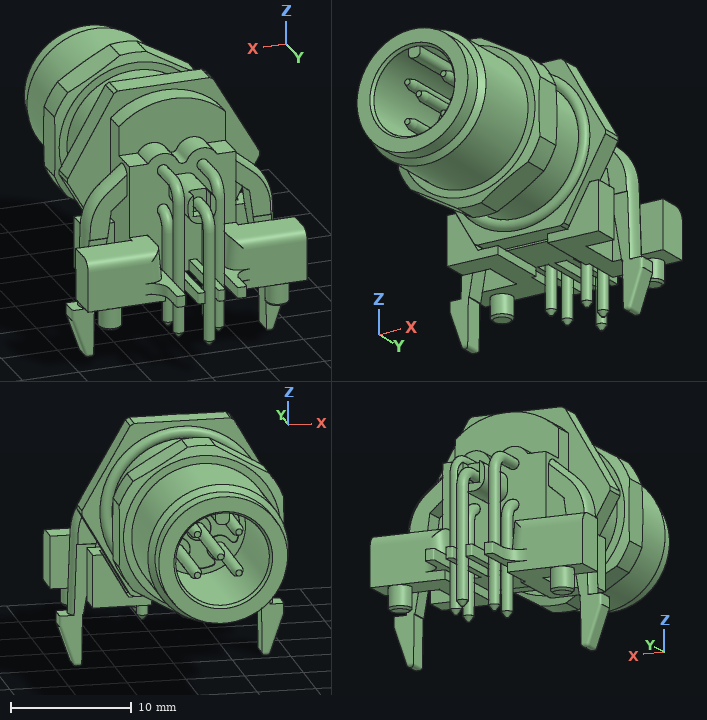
import cadquery as cq
import math


LIP_RADIUS = 5.5
LIP_LENGTH = 1.5
SHELL_RADIUS = 6.0
SHELL_CHAMFER_LENGTH = 0.5
FLANGE_FRONT = 16.5
FLANGE_BACK = 18.5
FLANGE_ACROSS_FLATS = 15.0
FLANGE_CORNER_RADIUS = 8.55
SEAL_SECTION_RADIUS = 0.5

NUT_FRONT = 8.52
NUT_LENGTH = 3.0
NUT_ACROSS_FLATS = 14.0
NUT_CORNER_RADIUS = 7.5
NUT_FACE_RADIUS = 6.7
NUT_CHAMFER_LENGTH = 0.27

BORE_RADIUS = 4.0
BORE_MOUTH_RADIUS = 4.2
BORE_MOUTH_LENGTH = 0.3
BORE_DEPTH = 9.9
KEY_WIDTH = 1.17
KEY_BOTTOM = 3.0
KEY_FRONT = BORE_MOUTH_LENGTH
KEY_CORNER = 0.45
POCKET_RADIUS = 3.5
POCKET_DEPTH = 0.15
POCKET_CORNER = 0.3
CONTACT_BOSS_DIAMETER = 2.1
TOP_LOBE_HEIGHT = 2.97
TOP_LOBE_WIDTH = 1.55
TOP_LOBE_CORNER = 0.75

PIN_RADIUS = 0.495
PIN_PITCH = 1.77
PIN_FRONT = 2.0
CENTER_PIN_FRONT = 1.0
PIN_NOSE_RADIUS = 0.27
PIN_NOSE_LENGTH = 0.78
PIN_BOTTOM = -11.75
PIN_POINT_RADIUS = 0.12
PIN_POINT_LENGTH = 0.48
PIN_BEND_RADIUS = 1.5
LOWER_PIN_Y = 24.27
PIN_ROW_STEP = 2.52

HOUSING_RADIUS = 7.0
HOUSING_HALF_WIDTH = 4.75
HOUSING_STEP_Y = 20.5
HOUSING_BACK = 23.0
SHOULDER_TOP = 2.52
PIN_HOOD_RADIUS = 1.5
HOOD_BLEND_RADIUS = 0.45
BASE_TOP = -3.9
BASE_BOTTOM = -8.5
FRONT_FOOT_HALF_WIDTH = 7.5
FRONT_FOOT_FRONT = 17.1
FRONT_FOOT_BACK = 19.5
FLANGE_CLEARANCE = 0.18
UNDERCUT_HALF_WIDTH = 2.45
REAR_FOOT_HALF_WIDTH = 9.75
REAR_FOOT_FRONT = 23.58
REAR_FOOT_BACK = 26.58
REAR_FOOT_ROUND = 1.02
RECESS_HALF_WIDTH = 2.85
RECESS_TOP_HALF_WIDTH = 3.12
RECESS_CORNER = 1.2
PEG_X = 7.45
PEG_DIAMETER = 2.0
PEG_LENGTH = 2.0
PEG_CHAMFER = 0.2

FINGER_TOP = -6.7
FINGER_BOTTOM = -7.68
FINGER_BACK = 30.0
FINGER_TIP_ROUND = 0.15
OUTER_FINGER = (2.28, 3.12)
INNER_FINGER = (0.57, 1.23)
FINGER_ROOT_RADIUS = 1.5
SLEEVE_HALF_WIDTH = 1.23
SLEEVE_TOP = 1.2
SLEEVE_BOTTOM = -1.47
SLEEVE_TOP_CORNER = 0.85
SLEEVE_BOTTOM_CORNER = 1.1
SLEEVE_BACK = 27.6
SLEEVE_NOTCH_LENGTH = 1.02
SLEEVE_NOTCH_WIDTH = 1.53

CLIP_Y = 21.5
CLIP_ARM_WIDTH = 1.92
CLIP_LEG_WIDTH = 1.8
CLIP_ROUND_RADIUS = 1.23
CLIP_ROUND_DEPTH = 0.9
CLIP_ARM_TOP = 2.2
CLIP_BEND_CORNER = (8.4, -0.8)
CLIP_BEND_SETBACK = 2.13
CLIP_LEG_BOTTOM = (8.73, -10.02)
CLIP_INNER_TOP_X = 6.48
CLIP_ELBOW = (6.15, -1.5)
CLIP_ARM_BOTTOM = -0.3
CLIP_INNER = (7.62, -10.47)
HOOK_X = 9.57
HOOK_LIP_BOTTOM = -10.98
HOOK_TIP_X = 8.35
HOOK_TIP_INNER_X = 7.68
HOOK_BOTTOM = -14.5
HOOK_TIP_RADIUS = 0.3
HOOK_ROUND = 0.27


def box(x0, x1, y0, y1, z0, z1):
    """Block between two opposite corners."""
    return cq.Workplane("XY").box(x1 - x0, y1 - y0, z1 - z0, centered=False).translate((x0, y0, z0))


def facing_back(y):
    """Sketch plane at y whose normal is +Y, with local x = -X and local y = +Z."""
    return cq.Workplane(cq.Plane((0, y, 0), xDir=(-1, 0, 0), normal=(0, 1, 0)))


def disc(radius, y0, y1, x=0, z=0):
    """Cylinder along Y."""
    return facing_back(y0).center(-x, z).circle(radius).extrude(y1 - y0)


def revolve_about_y(points):
    """Solid of revolution from (radius, y) points."""
    return cq.Workplane("XY").polyline(points).close().revolve(360, (0, 0), (0, 1))


def hex_prism(across_flats, y0, y1, turn=0):
    """Hexagonal prism along Y, flats at the top and bottom unless turned."""
    diameter = across_flats / math.cos(math.pi / 6)
    prism = facing_back(y0).polygon(6, diameter).extrude(y1 - y0)
    return prism.rotate((0, 0, 0), (0, 1, 0), turn)


def mirrored_pair(solid):
    return solid.union(solid.mirror("YZ"))


def make_shell():
    chamfer_end = LIP_LENGTH + SHELL_CHAMFER_LENGTH
    barrel = revolve_about_y([
        (0, 0), (LIP_RADIUS, 0), (LIP_RADIUS, LIP_LENGTH),
        (SHELL_RADIUS, chamfer_end), (SHELL_RADIUS, FLANGE_BACK), (0, FLANGE_BACK),
    ])
    flange = hex_prism(FLANGE_ACROSS_FLATS, FLANGE_FRONT, FLANGE_BACK)
    flange = flange.intersect(disc(FLANGE_CORNER_RADIUS, FLANGE_FRONT, FLANGE_BACK))
    seal_center = SHELL_RADIUS + SEAL_SECTION_RADIUS
    seal = (
        cq.Workplane("XY").center(seal_center, FLANGE_FRONT).circle(SEAL_SECTION_RADIUS)
        .revolve(360, (-seal_center, 0), (-seal_center, 1))
    )
    return barrel.union(flange).union(seal)


def make_nut():
    back = NUT_FRONT + NUT_LENGTH
    envelope = revolve_about_y([
        (0, NUT_FRONT), (NUT_FACE_RADIUS, NUT_FRONT),
        (NUT_CORNER_RADIUS, NUT_FRONT + NUT_CHAMFER_LENGTH),
        (NUT_CORNER_RADIUS, back - NUT_CHAMFER_LENGTH),
        (NUT_FACE_RADIUS, back), (0, back),
    ])
    return hex_prism(NUT_ACROSS_FLATS, NUT_FRONT, back, turn=30).intersect(envelope)


def make_bore():
    return revolve_about_y([
        (0, 0), (BORE_MOUTH_RADIUS, 0), (BORE_RADIUS, BORE_MOUTH_LENGTH),
        (BORE_RADIUS, BORE_DEPTH), (0, BORE_DEPTH),
    ])


def make_key():
    half = KEY_WIDTH / 2
    key = box(-half, half, KEY_FRONT, BORE_DEPTH, KEY_BOTTOM, BORE_MOUTH_RADIUS)
    return key.edges("|Y and <Z").fillet(KEY_CORNER)


def make_insert_pocket():
    """Shallow lobed recess in the bore floor that leaves a boss around each contact."""
    floor = BORE_DEPTH + POCKET_DEPTH
    pocket = disc(POCKET_RADIUS, BORE_DEPTH, floor)
    boss_radius = CONTACT_BOSS_DIAMETER / 2

    def is_outer_corner(edge):
        """True for an upright edge on the rim of the two side lobes and the bottom lobe."""
        center = edge.Center()
        on_rim = math.isclose(math.hypot(center.x, center.z), POCKET_RADIUS, rel_tol=0.01)
        return on_rim and center.z < PIN_PITCH + boss_radius

    diagonal = PIN_PITCH * math.sqrt(2)
    for angle in (45, 135, 225, 315):
        rib = disc(boss_radius, BORE_DEPTH, floor, x=diagonal)
        rib = rib.union(box(diagonal, 2 * diagonal, BORE_DEPTH, floor, -boss_radius, boss_radius))
        pocket = pocket.cut(rib.rotate((0, 0, 0), (0, 1, 0), angle))
    pocket = pocket.edges("|Y").filter(is_outer_corner).fillet(POCKET_CORNER)
    reach = POCKET_RADIUS
    pocket = pocket.cut(box(-reach, reach, BORE_DEPTH, floor, PIN_PITCH, reach))
    lobe = box(-TOP_LOBE_WIDTH / 2, TOP_LOBE_WIDTH / 2, BORE_DEPTH, floor, 0, TOP_LOBE_HEIGHT)
    lobe = lobe.edges("|Y and >Z").fillet(TOP_LOBE_CORNER)
    return pocket.union(lobe).cut(disc(boss_radius, BORE_DEPTH, floor))


def make_pin(x, z, leg_y, front=PIN_FRONT):
    """Contact that runs back along Y, bends down and ends in a pointed solder leg."""
    nose_back = front + PIN_NOSE_LENGTH
    nose = (
        cq.Workplane("XY")
        .polyline([
            (0, front), (PIN_NOSE_RADIUS, front), (PIN_RADIUS, nose_back), (0, nose_back),
        ])
        .close().revolve(360, (0, 0), (0, 1)).translate((x, 0, z))
    )
    bend_y = leg_y - PIN_BEND_RADIUS
    point_top = PIN_BOTTOM + PIN_POINT_LENGTH
    path = (
        cq.Workplane("YZ", origin=(x, 0, 0)).moveTo(nose_back, z).lineTo(bend_y, z)
        .radiusArc((leg_y, z - PIN_BEND_RADIUS), PIN_BEND_RADIUS).lineTo(leg_y, point_top)
    )
    rod = facing_back(nose_back).center(-x, z).circle(PIN_RADIUS).sweep(path)
    point = (
        cq.Workplane("XY", origin=(x, leg_y, PIN_BOTTOM)).circle(PIN_POINT_RADIUS)
        .workplane(offset=PIN_POINT_LENGTH).circle(PIN_RADIUS).loft()
    )
    return rod.union(nose).union(point)


def make_pins():
    upper_leg_y = LOWER_PIN_Y + PIN_ROW_STEP
    center_leg_y = upper_leg_y + PIN_ROW_STEP
    pins = make_pin(0, 0, center_leg_y, front=CENTER_PIN_FRONT)
    for x in (-PIN_PITCH, PIN_PITCH):
        pins = pins.union(make_pin(x, PIN_PITCH, upper_leg_y))
        pins = pins.union(make_pin(x, -PIN_PITCH, LOWER_PIN_Y))
    return pins


def make_hood_groove():
    """Concave blend between the two pin hoods, tangent to both, and the clearance above it."""
    reach = PIN_HOOD_RADIUS + HOOD_BLEND_RADIUS
    center_z = PIN_PITCH + math.sqrt(reach ** 2 - PIN_PITCH ** 2)
    tangent_z = PIN_PITCH + (center_z - PIN_PITCH) * PIN_HOOD_RADIUS / reach
    groove = disc(HOOD_BLEND_RADIUS, HOUSING_STEP_Y, HOUSING_BACK, z=center_z)
    return groove.union(box(-PIN_PITCH, PIN_PITCH, HOUSING_STEP_Y, HOUSING_BACK, tangent_z, SHOULDER_TOP))


def make_housing_core():
    half = HOUSING_HALF_WIDTH
    core = disc(HOUSING_RADIUS, FLANGE_BACK, HOUSING_STEP_Y)
    core = core.intersect(box(-half, half, FLANGE_BACK, HOUSING_STEP_Y, 0, HOUSING_RADIUS))
    core = core.union(box(-half, half, FLANGE_BACK, HOUSING_STEP_Y, BASE_BOTTOM, 0))
    core = core.union(box(-half, half, HOUSING_STEP_Y, HOUSING_BACK, BASE_BOTTOM, SHOULDER_TOP))
    core = core.cut(make_hood_groove())
    for x in (-PIN_PITCH, PIN_PITCH):
        core = core.union(disc(PIN_HOOD_RADIUS, HOUSING_STEP_Y, HOUSING_BACK, x, PIN_PITCH))
    return core


def make_front_foot():
    half = FRONT_FOOT_HALF_WIDTH
    foot = box(-half, half, FRONT_FOOT_FRONT, FRONT_FOOT_BACK, BASE_BOTTOM, BASE_TOP)
    clearance = FLANGE_ACROSS_FLATS + 2 * FLANGE_CLEARANCE
    return foot.cut(hex_prism(clearance, FRONT_FOOT_FRONT, FLANGE_BACK))


def make_rear_foot():
    """Right-hand foot with a sloping inner wall, rounded rear corner and a board peg."""
    outline = (
        cq.Workplane("YZ").moveTo(HOUSING_BACK, BASE_BOTTOM).lineTo(REAR_FOOT_BACK, BASE_BOTTOM)
        .lineTo(REAR_FOOT_BACK, BASE_TOP - REAR_FOOT_ROUND)
        .radiusArc((REAR_FOOT_BACK - REAR_FOOT_ROUND, BASE_TOP), -REAR_FOOT_ROUND)
        .lineTo(HOUSING_BACK, BASE_TOP).close().extrude(REAR_FOOT_HALF_WIDTH)
    )
    upper = (
        facing_back(HOUSING_BACK)
        .polyline([
            (-RECESS_HALF_WIDTH, FINGER_TOP), (-RECESS_TOP_HALF_WIDTH, BASE_TOP),
            (-REAR_FOOT_HALF_WIDTH, BASE_TOP), (-REAR_FOOT_HALF_WIDTH, FINGER_TOP),
        ])
        .close().extrude(REAR_FOOT_BACK - HOUSING_BACK)
    )
    inner_edge = ((RECESS_HALF_WIDTH + RECESS_TOP_HALF_WIDTH) / 2, REAR_FOOT_BACK,
                  (FINGER_TOP + BASE_TOP) / 2)
    upper = upper.edges(cq.selectors.NearestToPointSelector(inner_edge)).fillet(RECESS_CORNER)
    lower = box(RECESS_HALF_WIDTH, REAR_FOOT_HALF_WIDTH, HOUSING_BACK, REAR_FOOT_BACK,
                BASE_BOTTOM, FINGER_TOP)
    foot = outline.intersect(upper.union(lower))
    relief = box(HOUSING_HALF_WIDTH, REAR_FOOT_HALF_WIDTH, HOUSING_BACK, REAR_FOOT_FRONT,
                 BASE_BOTTOM, BASE_TOP)
    peg_y = REAR_FOOT_BACK - PEG_DIAMETER / 2
    peg = (
        cq.Workplane("XY", origin=(PEG_X, peg_y, BASE_BOTTOM))
        .circle(PEG_DIAMETER / 2).extrude(-PEG_LENGTH).faces("<Z").chamfer(PEG_CHAMFER)
    )
    return foot.cut(relief).union(peg)


def make_finger(x_range):
    finger = box(*x_range, HOUSING_BACK, FINGER_BACK, FINGER_BOTTOM, FINGER_TOP)
    return finger.edges("|Z and >Y").fillet(FINGER_TIP_ROUND)


def make_finger_root():
    """Concave web between the right-hand outer finger and the rear foot."""
    x = OUTER_FINGER[1]
    r = FINGER_ROOT_RADIUS
    return (
        cq.Workplane("XY", origin=(0, 0, FINGER_BOTTOM)).moveTo(x, REAR_FOOT_BACK + r)
        .radiusArc((x + r, REAR_FOOT_BACK), -r)
        .lineTo(x + r, REAR_FOOT_BACK - r).lineTo(x, REAR_FOOT_BACK - r)
        .close().extrude(FINGER_TOP - FINGER_BOTTOM)
    )


def make_sleeve():
    half = SLEEVE_HALF_WIDTH
    sleeve = box(-half, half, HOUSING_BACK, SLEEVE_BACK, SLEEVE_BOTTOM, SLEEVE_TOP)
    sleeve = sleeve.edges("|Y and >Z").fillet(SLEEVE_TOP_CORNER)
    sleeve = sleeve.edges("|Y and <Z").fillet(SLEEVE_BOTTOM_CORNER)
    notch_half = SLEEVE_NOTCH_WIDTH / 2
    notch_front = SLEEVE_BACK - SLEEVE_NOTCH_LENGTH
    return sleeve.cut(box(-notch_half, notch_half, notch_front, SLEEVE_BACK, -notch_half, SLEEVE_TOP))


def make_clip_slab(width, z0, z1):
    """Space that limits the clip to a width along Y between two heights."""
    return box(HOUSING_HALF_WIDTH, HOOK_X, CLIP_Y - width / 2, CLIP_Y + width / 2, z0, z1)


def make_clip():
    """Right-hand board clip: a sloping arm bent into a round-backed leg that ends in a hook."""
    depth = CLIP_ROUND_DEPTH
    chord_half = math.sqrt(depth * (2 * CLIP_ROUND_RADIUS - depth))
    corner_x, corner_z = CLIP_BEND_CORNER
    arm_angle = math.atan2(corner_z - CLIP_ARM_TOP, corner_x - HOUSING_HALF_WIDTH)
    leg_angle = math.atan2(CLIP_LEG_BOTTOM[1] - corner_z, CLIP_LEG_BOTTOM[0] - corner_x)

    def inset_point(point, angle, along=0):
        """Move a point of the outer edge along it, then in by the depth of the round back."""
        return (point[0] + along * math.cos(angle) + depth * math.sin(angle),
                point[1] + along * math.sin(angle) - depth * math.cos(angle))

    start = inset_point((HOUSING_HALF_WIDTH, CLIP_ARM_TOP), arm_angle)
    bend = inset_point(CLIP_BEND_CORNER, arm_angle, -CLIP_BEND_SETBACK)
    leg_top = inset_point(CLIP_BEND_CORNER, leg_angle, CLIP_BEND_SETBACK)
    leg_bottom = inset_point(CLIP_LEG_BOTTOM, leg_angle)

    def spine():
        """Line where the round back meets the flat web."""
        line = cq.Workplane("XZ", origin=(0, CLIP_Y, 0)).moveTo(*start).lineTo(*bend)
        return line.tangentArcPoint(leg_top, relative=False).lineTo(*leg_bottom)

    section_plane = cq.Plane((start[0], CLIP_Y, start[1]), xDir=(0, 1, 0),
                             normal=(math.cos(arm_angle), 0, math.sin(arm_angle)))
    back = (
        cq.Workplane(section_plane).moveTo(-chord_half, 0)
        .threePointArc((0, depth), (chord_half, 0)).close().sweep(spine())
    )
    web = (
        spine().lineTo(*CLIP_INNER).lineTo(CLIP_INNER_TOP_X, BASE_TOP)
        .lineTo(*CLIP_ELBOW).lineTo(HOUSING_HALF_WIDTH, CLIP_ARM_BOTTOM).close()
        .extrude(CLIP_ARM_WIDTH / 2, both=True)
    )
    envelope = make_clip_slab(CLIP_ARM_WIDTH, BASE_TOP, SHOULDER_TOP)
    envelope = envelope.union(make_clip_slab(CLIP_LEG_WIDTH, CLIP_LEG_BOTTOM[1], BASE_TOP))
    return web.union(back).intersect(envelope).union(make_hook())


def make_hook():
    """Barbed end of the clip leg with rounded outer edges."""
    outer_x = (HOOK_X + HOOK_TIP_X) / 2 - HOOK_ROUND
    hook = (
        cq.Workplane("XZ", origin=(0, CLIP_Y, 0))
        .polyline([
            (CLIP_INNER[0], CLIP_LEG_BOTTOM[1]), (HOOK_X, CLIP_LEG_BOTTOM[1]),
            (HOOK_X, HOOK_LIP_BOTTOM), (HOOK_TIP_X, HOOK_BOTTOM),
            (HOOK_TIP_INNER_X, HOOK_BOTTOM), CLIP_INNER,
        ])
        .close().extrude(CLIP_LEG_WIDTH / 2, both=True)
    )
    hook = hook.edges("not |Y").filter(lambda edge: edge.Center().x > outer_x).fillet(HOOK_ROUND)
    return hook.edges("|Y and <Z").fillet(HOOK_TIP_RADIUS)


base = make_housing_core().union(make_front_foot()).union(mirrored_pair(make_rear_foot()))
base = base.cut(box(-UNDERCUT_HALF_WIDTH, UNDERCUT_HALF_WIDTH, FRONT_FOOT_FRONT, FINGER_BACK,
                    BASE_BOTTOM, FINGER_BOTTOM))
for finger_range in (OUTER_FINGER, INNER_FINGER):
    base = base.union(mirrored_pair(make_finger(finger_range)))
base = base.union(mirrored_pair(make_finger_root())).union(make_sleeve())

mating_end = make_shell().union(make_nut()).cut(make_bore()).cut(make_insert_pocket())
mating_end = mating_end.union(make_key())

result = mating_end.union(base).union(mirrored_pair(make_clip())).union(make_pins())